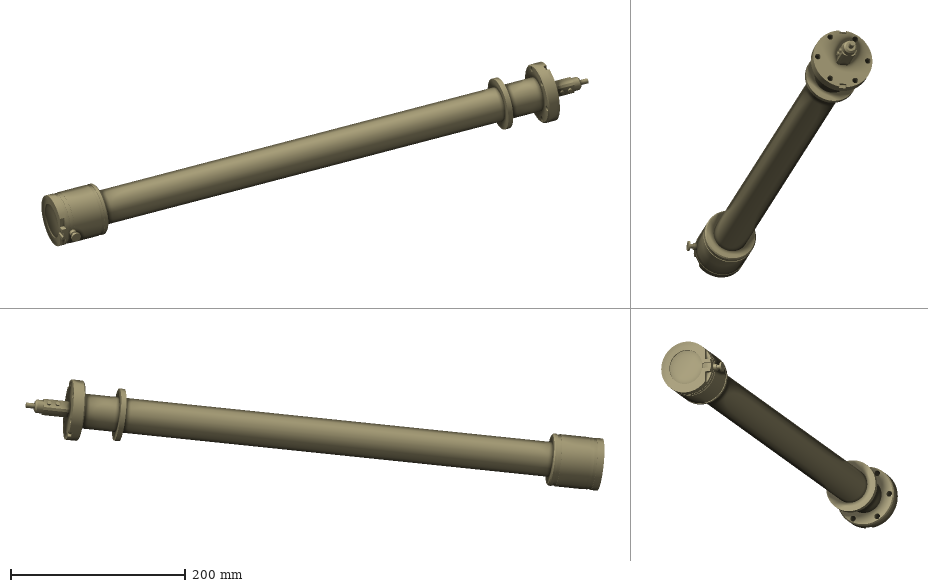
import cadquery as cq

total_length = 670.0

tube_diameter = 40.0

cap_diameter = 60.0
cap_length = 58.0
cap_chamfer = 1.5
rear_groove_start = 49.5
rear_groove_end = 53.5
front_groove_start = 8.0
front_groove_step = 11.5
front_groove_end = 16.0
deep_groove_depth = 1.0
shallow_groove_depth = 0.35
window_recess_depth = 1.5
key_slot_width = 6.0
key_slot_depth = 2.0
screw_flat_x = 23.5
screw_flat_length = 5.5
screw_block_width = 15.0

screw_y = 13.5
screw_reach = 40.0
screw_diameter = 5.5
screw_head_diameter = 11.5
screw_head_thickness = 2.0
screw_collar_diameter = 8.0
screw_collar_height = 3.5

collar_diameter = 60.0
collar_start = 558.0
collar_thickness = 6.0

flange_diameter = 70.0
flange_start = 606.0
flange_thickness = 14.0
flange_chamfer = 1.5
bolt_count = 6
bolt_circle_diameter = 59.0
bolt_hole_diameter = 7.0
leak_groove_width = 8.0
leak_groove_length = 4.0
leak_groove_depth = 4.0

connector_width = 15.5
connector_corner_chamfer = 2.35
connector_head_start = 650.5
connector_head_end = 660.0
connector_head_chamfer = 2.0
contact_diameter = 6.0
pin_diameter = 5.0
pin_span = 20.0
pin_positions = (634.5, 644.5)

flange_end = flange_start + flange_thickness


def xz_plane(y):
    """Cross-section plane at a given Y, extruding toward +Y, with its local y pointing to -Z."""
    return cq.Workplane(cq.Plane(origin=(0, y, 0), xDir=(1, 0, 0), normal=(0, 1, 0)))


def disc(diameter, start, end):
    """Cylinder on the main axis between two Y positions."""
    return xz_plane(start).circle(diameter / 2).extrude(end - start)


def radial_rod(diameter, y, start, end):
    """Cylinder parallel to X at a given Y, between two X positions."""
    plane = cq.Plane(origin=(start, y, 0), xDir=(0, 1, 0), normal=(1, 0, 0))
    return cq.Workplane(plane).circle(diameter / 2).extrude(end - start)


def cap_groove(start, end, depth):
    """Ring to be cut from the outside of the cap."""
    return disc(cap_diameter, start, end).cut(disc(cap_diameter - 2 * depth, start, end))


def front_box(start_x, length_y, width_z):
    """Box from the front face inward, running from a given X out past the rim of the cap."""
    size_x = cap_diameter - start_x
    box = cq.Workplane("XY").box(size_x, length_y, width_z, centered=(False, False, True))
    return box.translate((start_x, 0, 0))


def make_cap():
    cap = disc(cap_diameter, 0, cap_length).faces(">Y").edges().chamfer(cap_chamfer)
    cap = cap.cut(cap_groove(rear_groove_start, rear_groove_end, deep_groove_depth))
    cap = cap.cut(cap_groove(front_groove_start, front_groove_step, deep_groove_depth))
    cap = cap.cut(cap_groove(front_groove_step, front_groove_end, shallow_groove_depth))

    flat = front_box(screw_flat_x, screw_flat_length, cap_diameter)
    block = front_box(screw_flat_x, screw_flat_length, screw_block_width)
    cap = cap.cut(flat.cut(block))
    cap = cap.cut(front_box(0, key_slot_depth, key_slot_width))
    return cap.cut(disc(tube_diameter, 0, window_recess_depth))


def make_thumbscrew():
    seat = tube_diameter / 2
    collar_end = cap_diameter / 2 + screw_collar_height
    shaft = radial_rod(screw_diameter, screw_y, seat, screw_reach)
    collar = radial_rod(screw_collar_diameter, screw_y, seat, collar_end)
    head = radial_rod(screw_head_diameter, screw_y, screw_reach - screw_head_thickness, screw_reach)
    return shaft.union(collar).union(head)


def make_flange():
    flange = disc(flange_diameter, flange_start, flange_end).faces("<Y").edges().chamfer(flange_chamfer)
    bolt_holes = (
        xz_plane(flange_start)
        .polarArray(bolt_circle_diameter / 2, 0, 360, bolt_count)
        .circle(bolt_hole_diameter / 2)
        .extrude(flange_thickness)
    )
    leak_grooves = (
        xz_plane(flange_end - leak_groove_length)
        .pushPoints([(0, side * flange_diameter / 2) for side in (-1, 1)])
        .rect(leak_groove_width, 2 * leak_groove_depth)
        .extrude(leak_groove_length)
    )
    return flange.cut(bolt_holes).cut(leak_grooves)


def make_connector():
    body = (
        xz_plane(flange_end)
        .rect(connector_width, connector_width)
        .extrude(connector_head_start - flange_end)
        .edges("|Y")
        .chamfer(connector_corner_chamfer)
    )
    head = disc(connector_width, connector_head_start, connector_head_end)
    head = head.faces(">Y").edges().chamfer(connector_head_chamfer)
    contact = disc(contact_diameter, connector_head_end, total_length)
    connector = body.union(head).union(contact)
    for y in pin_positions:
        connector = connector.union(radial_rod(pin_diameter, y, -pin_span / 2, pin_span / 2))
    return connector


tube = disc(tube_diameter, window_recess_depth, flange_end)
collar = disc(collar_diameter, collar_start, collar_start + collar_thickness)

result = (
    make_cap()
    .union(tube)
    .union(collar)
    .union(make_flange())
    .union(make_connector())
    .union(make_thumbscrew())
)